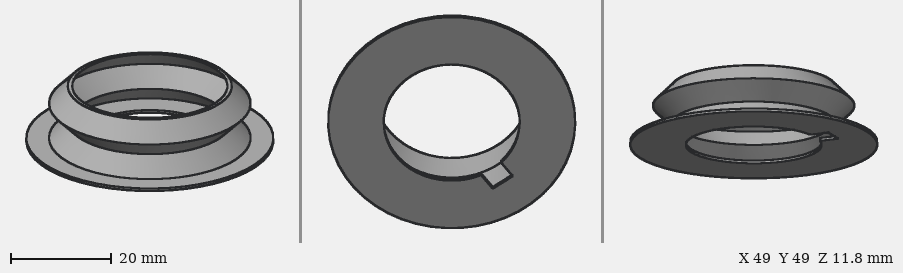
import cadquery as cq

flange_radius = 24.5
flange_thickness = 0.6
bore_radius = 13.48

total_height = 11.85
crest_radius = 20.0
valley_radius = 16.25
wall_width = 0.9
band_height = (total_height - flange_thickness) / 3

slot_width = 4.9
slot_reach = 17.15


def make_flange():
    return (
        cq.Workplane("XY")
        .circle(flange_radius)
        .circle(bore_radius)
        .extrude(flange_thickness)
    )


def make_bellows():
    """Revolve a zigzag wall that alternates between crest and valley radii."""
    outer = [
        (radius, flange_thickness + level * band_height)
        for level, radius in enumerate(
            [crest_radius, valley_radius, crest_radius, valley_radius]
        )
    ]
    inner = [(radius - wall_width, height) for radius, height in reversed(outer)]
    foot = [(crest_radius - wall_width, 0), (crest_radius, 0)]
    return (
        cq.Workplane("XZ")
        .polyline(outer + inner + foot)
        .close()
        .revolve(360, (0, 0, 0), (0, 1, 0))
    )


def make_slot():
    """Straight-sided slot from the axis out past the bore edge."""
    return (
        cq.Workplane("XY")
        .center(-slot_reach / 2, 0)
        .rect(slot_reach, slot_width)
        .extrude(flange_thickness)
    )


result = make_flange().union(make_bellows()).cut(make_slot())